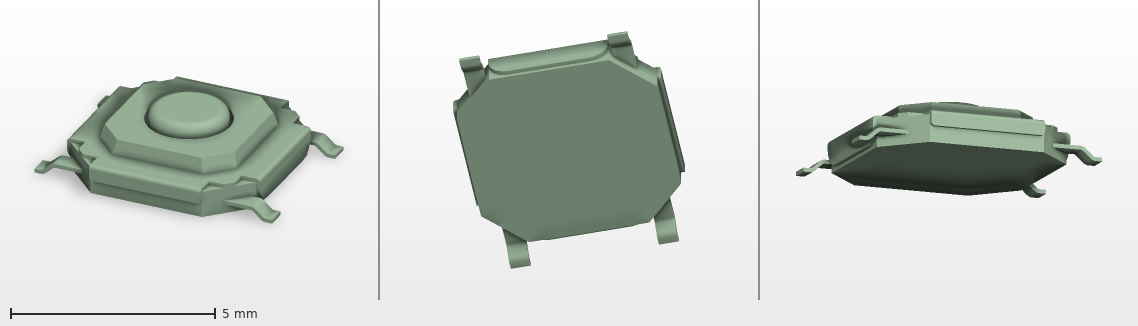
import cadquery as cq
import math

base_width = 5.0
base_height = 0.7
base_chamfer = 1.0

sheet = 0.1
cover_top = base_height + sheet
cover_span = base_width + 2 * sheet
flap_width = base_width - 2 * base_chamfer
bend_radius = 0.1
notch = 0.4
cover_plate_width = base_width - 2 * notch
cover_plate_chamfer = base_chamfer - 2 * notch
side_flap_bottom = 0.1
side_flap_corner_radius = 0.5
end_flap_bottom = 0.4
end_flap_corner_radius = 0.1

housing_top = 1.2
housing_base_width = 3.7
housing_top_width = 3.5
housing_chamfer = 0.62

button_diameter = 2.0
button_top = 1.5
button_round = 0.25
button_hole_diameter = 2.2

lead_span = 6.4
lead_width = 0.5
lead_offset = 1.85
lead_thickness = 0.1
lead_rise = 0.25
lead_foot = 0.17
lead_inner_radius = 0.1
lead_bend_angle = math.radians(41)
lead_root_x = flap_width / 2


def octagon_prism(width, chamfer, bottom, top):
    """Square prism with its four upright edges chamfered."""
    prism = cq.Workplane("XY").workplane(offset=bottom).rect(width, width).extrude(top - bottom)
    return prism.edges("|Z").chamfer(chamfer)


def octagon_wire(plane, width, chamfer):
    """Square outline with cut corners, pending on the given workplane."""
    half = width / 2
    inner = half - chamfer
    corners = [
        (half, -inner), (half, inner), (inner, half), (-inner, half),
        (-half, inner), (-half, -inner), (-inner, -half), (inner, -half),
    ]
    return plane.polyline(corners).close()


def flap_pair(bottom, corner_radius):
    """Cover strip along X, folded down over both ends of the base."""
    height = cover_top - bottom
    strip = cq.Workplane("XY").workplane(offset=bottom).rect(cover_span, flap_width).extrude(height)
    strip = strip.edges("|Y and >Z").fillet(bend_radius)
    return strip.edges("|X and <Z").fillet(corner_radius)


def make_cover():
    plate = octagon_prism(cover_plate_width, cover_plate_chamfer, base_height, cover_top)
    side_flaps = flap_pair(side_flap_bottom, side_flap_corner_radius)
    end_flaps = flap_pair(end_flap_bottom, end_flap_corner_radius).rotate((0, 0, 0), (0, 0, 1), 90)
    return plate.union(side_flaps).union(end_flaps)


def make_housing():
    lower = octagon_wire(cq.Workplane("XY").workplane(offset=cover_top), housing_base_width, housing_chamfer)
    upper = octagon_wire(lower.workplane(offset=housing_top - cover_top), housing_top_width, housing_chamfer)
    return upper.loft(ruled=True)


def make_button_hole():
    hole = cq.Workplane("XY").workplane(offset=base_height).circle(button_hole_diameter / 2)
    return hole.extrude(housing_top - base_height)


def make_button():
    """Round button standing on the base, with a rounded top rim."""
    button = cq.Workplane("XY").workplane(offset=base_height).circle(button_diameter / 2)
    return button.extrude(button_top - base_height).faces(">Z").edges().fillet(button_round)


def make_lead():
    """Gull-wing lead on the +X, +Y corner, extruded across its width from an XZ outline."""
    inner = lead_inner_radius
    outer = inner + lead_thickness
    sin_bend = math.sin(lead_bend_angle)
    cos_bend = math.cos(lead_bend_angle)
    sin_half = math.sin(lead_bend_angle / 2)
    cos_half = math.cos(lead_bend_angle / 2)

    slope_rise = lead_rise - (inner + outer) * (1 - cos_bend)
    bend_run = (inner + outer) * sin_bend + slope_rise / math.tan(lead_bend_angle)

    tip_x = lead_span / 2
    low_x = tip_x - lead_foot
    low_z = outer
    high_x = low_x - bend_run
    high_z = lead_rise - inner

    def on_high(radius, sin_angle, cos_angle):
        return (high_x + radius * sin_angle, high_z + radius * cos_angle)

    def on_low(radius, sin_angle, cos_angle):
        return (low_x - radius * sin_angle, low_z - radius * cos_angle)

    outline = (
        cq.Workplane("XZ", origin=(0, lead_offset + lead_width / 2, 0))
        .moveTo(lead_root_x, lead_rise)
        .lineTo(high_x, lead_rise)
        .threePointArc(on_high(inner, sin_half, cos_half), on_high(inner, sin_bend, cos_bend))
        .lineTo(*on_low(outer, sin_bend, cos_bend))
        .threePointArc(on_low(outer, sin_half, cos_half), (low_x, 0))
        .lineTo(tip_x, 0)
        .lineTo(tip_x, lead_thickness)
        .lineTo(low_x, lead_thickness)
        .threePointArc(on_low(inner, sin_half, cos_half), on_low(inner, sin_bend, cos_bend))
        .lineTo(*on_high(outer, sin_bend, cos_bend))
        .threePointArc(on_high(outer, sin_half, cos_half), (high_x, lead_rise + lead_thickness))
        .lineTo(lead_root_x, lead_rise + lead_thickness)
        .close()
    )
    return outline.extrude(lead_width)


def make_leads():
    """All four leads, mirrored from one corner."""
    lead = make_lead()
    pair = lead.union(lead.mirror("XZ"))
    return pair.union(pair.mirror("YZ"))


base = octagon_prism(base_width, base_chamfer, 0, base_height)
shell = base.union(make_cover()).union(make_housing()).cut(make_button_hole())
result = shell.union(make_button()).union(make_leads())